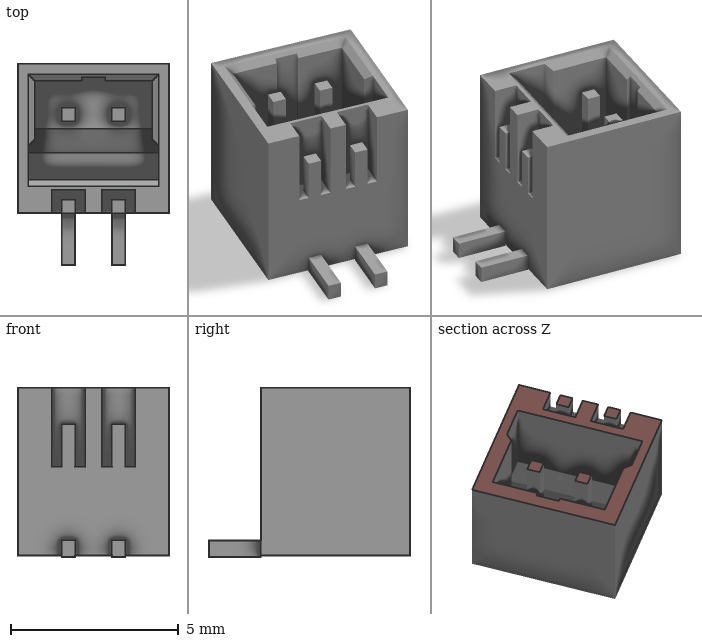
import cadquery as cq

width = 4.5
depth = 4.45
height = 5.005
lead_reach = 6.0 - depth
lead_drop = 0.05

contact_positions = (1.5, 3.0)
contact_size = 0.4
lead_height = 0.505
inner_pin_y = depth - 1.505
inner_pin_top = 4.35
front_pin_top = 3.905

slot_width = 1.0
slot_depth = 0.7
slot_floor = 2.65

side_wall = 0.3
back_wall = 0.31
front_wall = 0.805
lead_in = 0.2
rib_end_y = depth - 2.255
floor_back_y = depth - 1.945
floor_front_y = depth - 2.66
floor_back_z = 1.5
floor_step = 0.5
floor_front_z = floor_back_z - floor_step

key_width = 0.69
key_wall = 0.41


def box(x_min, x_max, y_min, y_max, z_min, z_max):
    """Box given by its limits along each axis."""
    size = (x_max - x_min, y_max - y_min, z_max - z_min)
    return cq.Workplane("XY").box(*size, centered=False).translate((x_min, y_min, z_min))


def contact_box(x, y_min, y_max, z_min, z_max):
    """Contact-wide box centred on x."""
    return box(x - contact_size / 2, x + contact_size / 2, y_min, y_max, z_min, z_max)


def cavity():
    """Cavity with narrowed back half, lead-in chamfers and a sloping floor step."""
    left = side_wall
    right = width - side_wall
    back = depth - back_wall
    front = front_wall + lead_in
    outline = [
        (left, front),
        (right, front),
        (right, rib_end_y - lead_in),
        (right - lead_in, rib_end_y),
        (right - lead_in, back - lead_in),
        (left + lead_in, back - lead_in),
        (left + lead_in, rib_end_y),
        (left, rib_end_y - lead_in),
    ]
    well = cq.Workplane("XY").polyline(outline).close().extrude(height)
    side_profile = [
        (front, floor_front_z),
        (floor_front_y, floor_front_z),
        (floor_back_y, floor_back_z),
        (depth, floor_back_z),
        (depth, height),
        (front, height),
    ]
    above_floor = cq.Workplane("YZ").polyline(side_profile).close().extrude(width)
    return well.intersect(above_floor)


def lead_in_chamfers():
    """Chamfered mouth along the back, front and narrowed side walls."""
    profile = [
        (front_wall, height),
        (front_wall + lead_in, height - lead_in),
        (depth - back_wall - lead_in, height - lead_in),
        (depth - back_wall, height),
    ]
    front_to_back = cq.Workplane("YZ").polyline(profile).close().extrude(width)
    profile = [
        (side_wall, height),
        (side_wall + lead_in, height - lead_in),
        (width - side_wall - lead_in, height - lead_in),
        (width - side_wall, height),
    ]
    side_to_side = cq.Workplane("XZ").polyline(profile).close().extrude(-depth)
    straight_sides = box(side_wall, width - side_wall, 0, rib_end_y - lead_in, 0, height)
    return front_to_back.intersect(side_to_side.union(straight_sides))


def key_groove():
    """Vertical groove in the middle of the back wall."""
    middle = width / 2
    return box(middle - key_width / 2, middle + key_width / 2,
               floor_back_y, depth - key_wall, floor_back_z, height)


result = box(0, width, 0, depth, 0, height)
result = result.cut(cavity()).cut(lead_in_chamfers()).cut(key_groove())

for x in contact_positions:
    slot = box(x - slot_width / 2, x + slot_width / 2, 0, slot_depth, slot_floor, height)
    front_pin = contact_box(x, 0, contact_size, slot_floor, front_pin_top)
    inner_pin = contact_box(x, inner_pin_y - contact_size / 2, inner_pin_y + contact_size / 2,
                            floor_back_z, inner_pin_top)
    lead = contact_box(x, -lead_reach, 0, -lead_drop, lead_height - lead_drop)
    result = result.cut(slot).union(front_pin).union(inner_pin).union(lead)